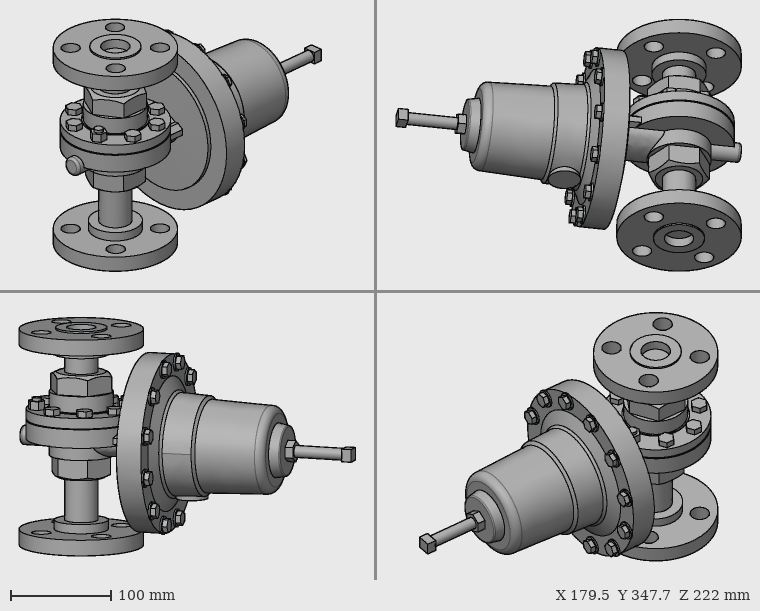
import cadquery as cq
import math


flange_dia = 124.0
flange_thick = 16.0
raised_face_dia = 51.0
raised_face_height = 1.7
hub_dia = 54.0
hub_height = 9.5
pipe_dia = 33.5
bore_dia = 29.2
bore_depth = 9.7
flange_hole_dia = 19.0
flange_hole_pitch = 63.0
pipe_top = 112.5
pipe_bottom = -109.5

body_dia = 64.0
body_bottom = -16.7
body_flange_dia = 110.2
body_flange_top = 18.8
gasket_dia = 108.5
gasket_thick = 0.7
cover_bottom = body_flange_top + gasket_thick
cover_top = 30.3
collar_ring_dia = 67.5
collar_ring_top = 31.3
body_top = 48.0
upper_hex_flats = 55.5
upper_hex_top = 67.8
lower_hex_flats = 53.5
lower_hex_bottom = -38.5
hex_crown = 3.0
hex_bevel_height = 3.8

cover_bolt_count = 8
cover_bolt_circle_dia = 89.0
cover_bolt_flats = 14.5
cover_bolt_head = 6.3
stud_nut_height = 8.7
stud_height = 11.8
stud_dia = 9.5
stud_indices = (2, 6)

plug_dia = 19.5
plug_fillet = 2.8

neck_half_width = 25.5
neck_top = 21.0
neck_bottom = -16.0
rib_half_width = 33.0
rib_side_bottom = 2.0
rib_side_top = 8.5
rib_top = 13.2
rib_top_half_width = 26.8
arch_half_width = 22.5

case_dia = 179.5
case_start = 66.8
case_end = 92.5
case_pad_radius = 67.8
case_pad_start = 62.5
case_nose_start = 61.2
case_bolt_count = 12
case_bolt_circle_dia = 163.5
case_bolt_flats = 13.0
case_washer_dia = 18.0
case_washer_thick = 1.7
case_bolt_end = 99.5
case_bolt_twist = 45

flare_radius = 67.8
flare_top_radius = 54.2
flare_top = 99.5
skirt_start = 102.2
skirt_radius = 51.8
skirt_end = 132.0
skirt_end_radius = 50.5
barrel_start = 135.0
barrel_radius = 47.0
barrel_end = 196.8
barrel_end_radius = 44.5
crown_end = 206.0
crown_radius = 37.0
cap_radius = 27.5
cap_end = 217.0
cap_end_radius = 25.5
cap_fillet = 1.5
vent_y = 116.0
vent_dia = 32.5
vent_bottom = -53.5

lock_nut_flats = 18.8
lock_nut_end = 225.5
screw_dia = 12.0
head_start = 275.7
overall_length = 347.7
screw_end = overall_length - flange_dia / 2
head_width = 14.0
head_height = 13.0

hex_half_turn = 30


def cylinder_z(dia, bottom, top):
    """Upright cylinder on the pipe axis."""
    return cq.Workplane("XY").workplane(offset=bottom).circle(dia / 2).extrude(top - bottom)


def plane_y(y):
    """Workplane at y, with local x = X, local y = Z and extrusion toward -Y."""
    return cq.Workplane("XZ", origin=(0, y, 0))


def corner_dia(flats):
    """Corner-to-corner size of a hexagon."""
    return flats / math.cos(math.radians(hex_half_turn))


def hexagon_z(flats, height):
    """Hexagonal prism standing on Z = 0, with corners toward +Y and -Y."""
    prism = cq.Workplane("XY").polygon(6, corner_dia(flats)).extrude(height)
    return prism.rotate((0, 0, 0), (0, 0, 1), hex_half_turn)


def pipe_end():
    """Flange, hub and blind bore, with the sealing face at Z = 0 and the hub below."""
    flange_top = -raised_face_height
    hub_top = flange_top - flange_thick
    end = cylinder_z(raised_face_dia, flange_top, 0)
    flange = (
        cylinder_z(flange_dia, hub_top, flange_top)
        .faces(">Z").workplane()
        .rect(flange_hole_pitch, flange_hole_pitch, forConstruction=True).vertices()
        .hole(flange_hole_dia)
    )
    end = end.union(flange).union(cylinder_z(hub_dia, hub_top - hub_height, hub_top))
    return end.cut(cylinder_z(bore_dia, -bore_depth, 0))


def crowned_hexagon(flats, height):
    """Wrench hexagon on Z = 0 with its upper corners bevelled by a cone."""
    corner = corner_dia(flats) / 2
    crown = flats / 2 - hex_crown
    bevel_start = height - hex_bevel_height
    bevel = (
        cq.Workplane("XZ")
        .polyline([(0, 0), (corner, 0), (corner, bevel_start), (crown, height), (0, height)])
        .close()
        .revolve(360, (0, 0, 0), (0, 1, 0))
    )
    return hexagon_z(flats, height).intersect(bevel)


def pipe_line():
    bore_floor = pipe_top - bore_depth
    lower_bore_floor = pipe_bottom + bore_depth
    line = cylinder_z(pipe_dia, lower_bore_floor, bore_floor)
    line = line.union(pipe_end().translate((0, 0, pipe_top)))
    return line.union(pipe_end().mirror("XY").translate((0, 0, pipe_bottom)))


def valve_body():
    body = cylinder_z(body_dia, body_bottom, body_top)
    body = body.union(cylinder_z(body_flange_dia, 0, body_flange_top))
    body = body.union(cylinder_z(gasket_dia, body_flange_top, cover_bottom))
    body = body.union(cylinder_z(body_flange_dia, cover_bottom, cover_top))
    body = body.union(cylinder_z(collar_ring_dia, cover_top, collar_ring_top))
    upper_hex = crowned_hexagon(upper_hex_flats, upper_hex_top - body_top)
    lower_hex = crowned_hexagon(lower_hex_flats, body_bottom - lower_hex_bottom).mirror("XY")
    body = body.union(upper_hex.translate((0, 0, body_top)))
    return body.union(lower_hex.translate((0, 0, body_bottom)))


def cover_bolts():
    bolt = hexagon_z(cover_bolt_flats, cover_bolt_head)
    stud = hexagon_z(cover_bolt_flats, stud_nut_height).union(cylinder_z(stud_dia, 0, stud_height))
    step = 2 * math.pi / cover_bolt_count
    radius = cover_bolt_circle_dia / 2
    bolts = cq.Workplane("XY")
    for index in range(cover_bolt_count):
        angle = (index + 0.5) * step
        fastener = stud if index in stud_indices else bolt
        place = (radius * math.cos(angle), radius * math.sin(angle), cover_top)
        bolts = bolts.add(fastener.translate(place))
    return bolts


def front_plug():
    plug = plane_y(0).circle(plug_dia / 2).extrude(flange_dia / 2)
    return plug.faces("<Y").edges().fillet(plug_fillet)


def neck():
    """Neck from the pipe axis to the case: round below, ribbed at the sides, arched on top."""
    lower = (
        plane_y(case_start)
        .ellipseArc(neck_half_width, -neck_bottom, 180, 360, startAtCurrent=False)
        .close()
        .extrude(case_start)
    )
    right_side = [
        (neck_half_width, 0),
        (rib_half_width, rib_side_bottom),
        (rib_half_width, rib_side_top),
        (rib_top_half_width, rib_top),
        (arch_half_width, rib_top),
    ]
    left_side = [(-x, z) for x, z in reversed(right_side)]
    upper = (
        plane_y(case_start)
        .polyline(right_side)
        .threePointArc((0, neck_top), left_side[0])
        .polyline(left_side[1:], includeCurrent=True)
        .close()
        .extrude(case_start)
    )
    return lower.union(upper)


def case_and_housing():
    """Diaphragm case and spring housing, turned about the Y axis."""
    bulge = math.sqrt(0.5)
    crown_middle = (
        crown_radius + (barrel_end_radius - crown_radius) * bulge,
        barrel_end + (crown_end - barrel_end) * bulge,
    )
    profile = (
        cq.Workplane("XY")
        .moveTo(0, case_nose_start)
        .lineTo(case_pad_radius, case_pad_start)
        .lineTo(case_pad_radius, case_start)
        .lineTo(case_dia / 2, case_start)
        .lineTo(case_dia / 2, case_end)
        .lineTo(flare_radius, case_end)
        .lineTo(flare_top_radius, flare_top)
        .lineTo(skirt_radius, skirt_start)
        .lineTo(skirt_end_radius, skirt_end)
        .lineTo(barrel_radius, barrel_start)
        .lineTo(barrel_end_radius, barrel_end)
        .threePointArc(crown_middle, (crown_radius, crown_end))
        .lineTo(cap_radius, crown_end)
        .lineTo(cap_end_radius, cap_end)
        .lineTo(0, cap_end)
        .close()
    )
    housing = profile.revolve(360, (0, 0, 0), (0, 1, 0))
    housing = housing.faces(">Y").edges().fillet(cap_fillet)
    vent = (
        cq.Workplane("XY", origin=(0, vent_y, vent_bottom))
        .circle(vent_dia / 2)
        .extrude(-vent_bottom)
    )
    return housing.union(vent)


def case_bolts():
    head_thick = case_bolt_end - case_end
    bolt = (
        plane_y(case_bolt_end)
        .polygon(6, corner_dia(case_bolt_flats))
        .extrude(head_thick)
        .rotate((0, 0, 0), (0, 1, 0), case_bolt_twist)
    )
    washer = plane_y(case_end + case_washer_thick).circle(case_washer_dia / 2).extrude(case_washer_thick)
    bolt = bolt.union(washer).translate((case_bolt_circle_dia / 2, 0, 0))
    step = 360 / case_bolt_count
    bolts = cq.Workplane("XY")
    for index in range(case_bolt_count):
        bolts = bolts.add(bolt.rotate((0, 0, 0), (0, 1, 0), -(index + 0.5) * step))
    return bolts


def adjusting_screw():
    lock_nut = (
        plane_y(lock_nut_end)
        .polygon(6, corner_dia(lock_nut_flats))
        .extrude(lock_nut_end - cap_end)
        .rotate((0, 0, 0), (0, 1, 0), hex_half_turn)
    )
    shank = plane_y(head_start).circle(screw_dia / 2).extrude(head_start - cap_end)
    head = plane_y(screw_end).rect(head_width, head_height).extrude(screw_end - head_start)
    return lock_nut.union(shank).union(head)


result = (
    valve_body()
    .union(pipe_line())
    .union(neck())
    .union(case_and_housing())
    .union(front_plug())
    .union(adjusting_screw())
)
for fastener in cover_bolts().vals() + case_bolts().vals():
    result = result.union(cq.Workplane(fastener))